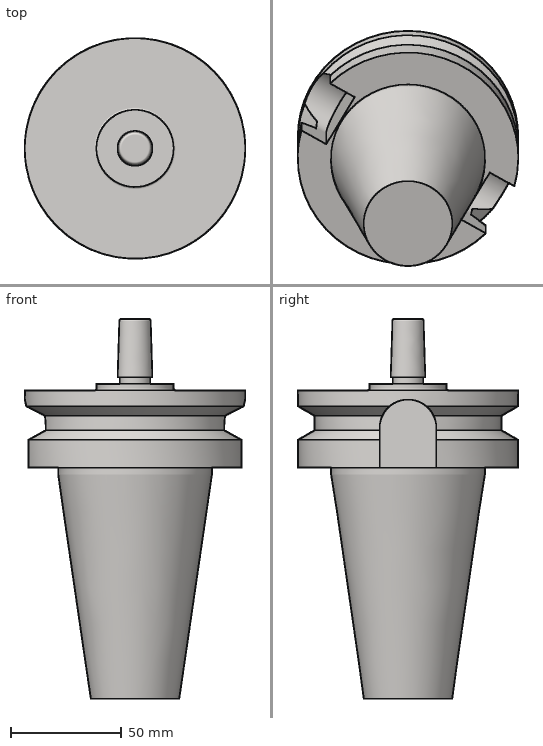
import cadquery as cq
import math


gauge_radius = 69.85 / 2
taper_ratio = 7 / 24
taper_length = 101.8
tail_radius = gauge_radius - taper_length * taper_ratio / 2

flange_radius = 50.0
flange_bottom = 3.0
flange_top = 38.0
groove_center = 23.2
groove_half_mouth = 7.62
groove_radius = 42.5
groove_wall_angle = math.radians(30)
groove_wall_rise = (flange_radius - groove_radius) * math.tan(groove_wall_angle)
groove_half_floor = groove_half_mouth - groove_wall_rise

slot_width = 25.7
slot_floor = 35.4
slot_arc_center = 21.0

collar_radius = 17.5
collar_height = 3.0
collar_fillet = 1.0

neck_radius = 6.95
arbor_base_radius = 15.85 / 2
arbor_base_height = 0.4
arbor_tip_radius = 14.25 / 2
arbor_bottom = 43.9
arbor_top = 70.4
tip_fillet = 1.0


def make_body():
    """Revolve the half profile (radius, Z) about the Z axis and round the arbor tip."""
    collar_top = flange_top + collar_height
    shank_and_flange = [
        (0, -taper_length),
        (tail_radius, -taper_length),
        (gauge_radius, 0),
        (gauge_radius, flange_bottom),
        (flange_radius, flange_bottom),
        (flange_radius, groove_center - groove_half_mouth),
        (groove_radius, groove_center - groove_half_floor),
        (groove_radius, groove_center + groove_half_floor),
        (flange_radius, groove_center + groove_half_mouth),
        (flange_radius, flange_top),
        (collar_radius + collar_fillet, flange_top),
    ]
    fillet_inset = collar_fillet * (1 - math.sqrt(0.5))
    fillet_middle = (collar_radius + fillet_inset, flange_top + fillet_inset)
    fillet_end = (collar_radius, flange_top + collar_fillet)
    profile = (
        cq.Workplane("XZ")
        .polyline(shank_and_flange)
        .threePointArc(fillet_middle, fillet_end)
        .lineTo(collar_radius, collar_top)
        .lineTo(neck_radius, collar_top)
        .lineTo(neck_radius, arbor_bottom)
        .lineTo(arbor_base_radius, arbor_bottom)
        .lineTo(arbor_base_radius, arbor_bottom + arbor_base_height)
        .lineTo(arbor_tip_radius, arbor_top)
        .lineTo(0, arbor_top)
        .close()
    )
    body = profile.revolve(360, (0, 0), (0, 1))
    return body.faces(">Z").edges().fillet(tip_fillet)


def make_slot(side):
    """Round-topped cutter for the drive slot on the +X (1) or -X (-1) side."""
    half_width = slot_width / 2
    return (
        cq.Workplane("YZ", origin=(side * slot_floor, 0, 0))
        .moveTo(-half_width, flange_bottom)
        .lineTo(half_width, flange_bottom)
        .lineTo(half_width, slot_arc_center)
        .threePointArc((0, slot_arc_center + half_width), (-half_width, slot_arc_center))
        .close()
        .extrude(side * flange_radius)
    )


result = make_body()
for side in (-1, 1):
    result = result.cut(make_slot(side))